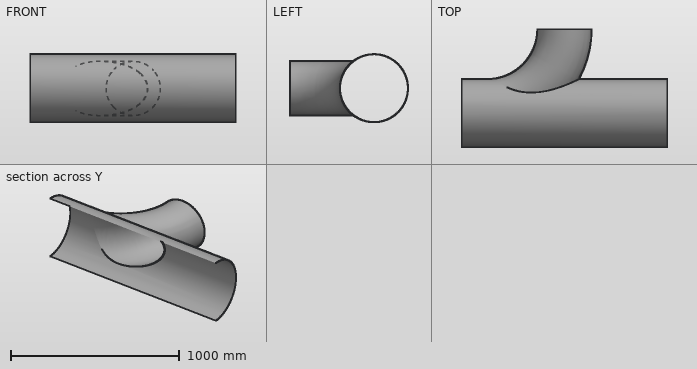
import cadquery as cq

run_length = 1220.0
run_diameter = 406.0
run_bore = 400.0
wall = (run_diameter - run_bore) / 2

branch_diameter = 325.0
branch_bore = branch_diameter - 2 * wall
branch_x = 0.0
overall_width = 702.0
branch_end_y = overall_width - run_diameter / 2
bend_angle = 90.0

bend_inner_radius = branch_end_y - run_diameter / 2
bend_radius = bend_inner_radius + branch_diameter / 2


def run_cylinder(diameter):
    """Solid cylinder along X over the full run length."""
    return (
        cq.Workplane("YZ")
        .workplane(offset=-run_length / 2)
        .circle(diameter / 2)
        .extrude(run_length)
    )


def elbow(diameter):
    """Solid quarter bend from the branch mouth, curving down and toward -X into the run."""
    return (
        cq.Workplane("XZ", origin=(branch_x, branch_end_y, 0))
        .circle(diameter / 2)
        .revolve(bend_angle, (-bend_radius, 0, 0), (-bend_radius, -1, 0))
    )


outside = run_cylinder(run_diameter).union(elbow(branch_diameter))
result = outside.cut(run_cylinder(run_bore)).cut(elbow(branch_bore))